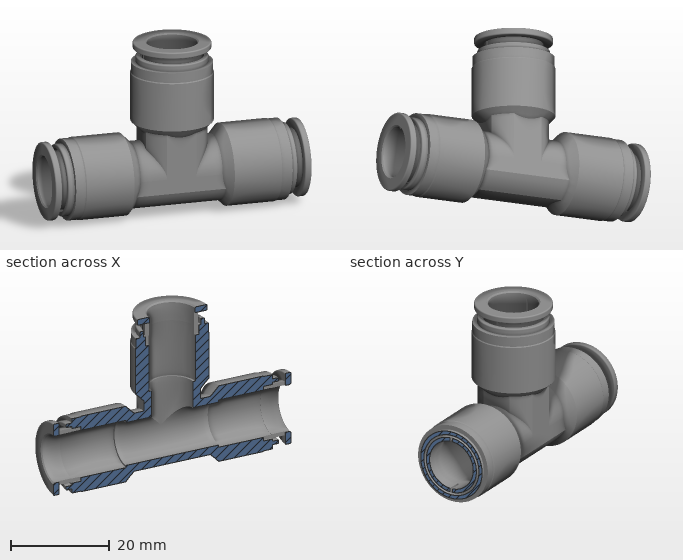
import cadquery as cq

reach = 27.2

flange_radius = 8.0
flange_thickness = 1.35
flange_edge_radius = 0.25
sleeve_radius = 6.05
sleeve_bore_radius = 5.15
sleeve_mouth_radius = 5.45
sleeve_mouth_depth = sleeve_mouth_radius - sleeve_bore_radius
bore_step_depth = 4.3
sleeve_slot_width = 0.5

collar_radius = 7.4
collar_bore_radius = 6.55
collar_depth = 2.85
collar_edge_radius = 0.25
ring_depth = 4.2

body_radius = 8.5
body_depth = 6.25
body_edge_length = 0.2
body_edge_height = 0.135
ring_radius = body_radius - body_edge_height
body_end_depth = 16.55

socket_radius = 5.2
passage_radius = 4.75

core_radius = 6.55
core_width = 2 * core_radius
core_corner_radius = 7.25

cone_length = body_radius - core_radius
cone_end_depth = body_end_depth + cone_length
core_reach = reach - body_end_depth


def port_cylinder(radius, start_depth, end_depth):
    """Cylinder inside the +Z port, between two depths from its outer face."""
    return (
        cq.Workplane("XY")
        .workplane(offset=reach - end_depth)
        .circle(radius)
        .extrude(end_depth - start_depth)
    )


def port_outside():
    """Solid envelope of the +Z port: flange, sleeve neck, collar, ring, body and 45 degree cone."""
    flange = port_cylinder(flange_radius, 0, flange_thickness).edges().fillet(flange_edge_radius)
    neck = port_cylinder(sleeve_radius, 0, ring_depth)
    collar = port_cylinder(collar_radius, collar_depth, body_depth)
    collar = collar.faces(">Z").edges().fillet(collar_edge_radius)
    collar = collar.cut(port_cylinder(collar_bore_radius, collar_depth, ring_depth))
    ring = port_cylinder(ring_radius, ring_depth, body_end_depth)
    body = port_cylinder(body_radius, body_depth, cone_end_depth)
    body = body.faces("<Z").edges().chamfer(cone_length)
    body = body.faces(">Z").edges().chamfer(body_edge_length, body_edge_height)
    return flange.union(collar).union(ring).union(body).union(neck)


def port_inside():
    """Void of the +Z port: sleeve bore, tube socket, flow passage and slots across the sleeve."""
    bore = port_cylinder(sleeve_bore_radius, 0, bore_step_depth)
    mouth = cq.Solid.makeCone(
        sleeve_bore_radius,
        sleeve_mouth_radius,
        sleeve_mouth_depth,
        pnt=cq.Vector(0, 0, reach - sleeve_mouth_depth),
    )
    socket = port_cylinder(socket_radius, bore_step_depth, body_end_depth)
    passage = port_cylinder(passage_radius, body_end_depth, reach)
    slot_block = (
        cq.Workplane("XY")
        .workplane(offset=reach - body_depth)
        .rect(sleeve_slot_width, 2 * sleeve_radius)
        .extrude(body_depth - flange_thickness)
    )
    slot = slot_block.intersect(port_cylinder(sleeve_radius, flange_thickness, body_depth))
    return bore.union(cq.Workplane(mouth)).union(socket).union(passage).union(slot)


def rounded_square_bar(plane, length):
    """Square bar whose corners are turned down to a common cylinder."""
    square = cq.Workplane(plane).rect(core_width, core_width).extrude(length)
    return square.intersect(cq.Workplane(plane).circle(core_corner_radius).extrude(length))


def core():
    """Tee core: squared branch and lower half of the run, with a round upper half of the run."""
    branch = rounded_square_bar("XY", core_reach)
    run_length = 2 * core_reach
    round_run = cq.Workplane("XZ").circle(core_radius).extrude(core_reach, both=True)
    lower_half_block = (
        cq.Workplane("XY")
        .box(core_width, run_length, core_width, centered=(True, True, False))
        .translate((0, 0, -core_width))
    )
    square_run = rounded_square_bar("XZ", run_length).translate((0, core_reach, 0))
    return round_run.union(square_run.intersect(lower_half_block)).union(branch)


def at_all_ports(shape):
    """Copies of a +Z port shape for the branch and for both ends of the run."""
    placed = shape
    for angle in (90, -90):
        placed = placed.union(shape.rotate((0, 0, 0), (1, 0, 0), angle))
    return placed


result = core().union(at_all_ports(port_outside())).cut(at_all_ports(port_inside()))